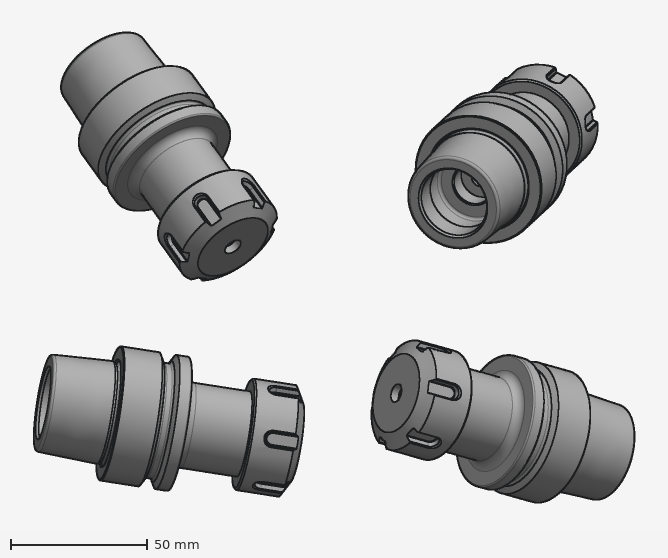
import cadquery as cq
import math


full_turn = 360.0

taper_front_radius = 18.1
taper_front_round = 1.0
taper_large_x = 23.1
taper_large_radius = 19.2

relief_radius = 18.7
relief_start_x = 24.0
relief_end_x = 24.6
relief_fillet_end_x = 25.4
relief_fillet_end_radius = 19.55
relief_mouth_radius = 20.1

flange_diameter = 50.0
flange_radius = flange_diameter / 2
flange_start_x = 25.0
flange_end_x = 50.8
flange_front_chamfer = 0.4
flange_rear_round = 0.6
groove_center_x = 42.8
groove_mouth_width = 6.55
groove_mouth_half_width = groove_mouth_width / 2
groove_width = 3.7
groove_half_width = groove_width / 2
groove_floor_diameter = 43.0
groove_floor_radius = groove_floor_diameter / 2
groove_floor_fillet = 0.9
groove_flank_angle = 30.0

neck_diameter = 31.8
neck_radius = neck_diameter / 2
neck_fillet = 3.2

bore_diameter = 25.9
bore_radius = bore_diameter / 2
bore_mouth_radius = 13.7
bore_mouth_angle = 35.0
bore_end_x = 9.9
undercut_radius = 13.6
bore_floor_radius = 12.4
bore_floor_fillet = undercut_radius - bore_floor_radius
bore_floor_x = 19.3
recess_mouth_radius = 8.0
recess_radius = 7.5
recess_chamfer = recess_mouth_radius - recess_radius
recess_depth = 7.6
through_radius = 3.4

nut_start_x = 75.1
nut_end_x = 94.9
nut_radius = 20.8
nut_chamfer = 0.7
nut_cone_start_x = 91.5
nut_face_radius = 14.9
spigot_end_x = nut_cone_start_x

slot_count = 6
slot_first_angle = 19.2
slot_center_x = 83.5
slot_floor_height = 18.1
slot_floor_width = 4.3
slot_floor_half_width = slot_floor_width / 2
slot_floor_chamfer = 0.2
slot_wall_top_height = 20.1
slot_wall_top_width = 5.5
slot_wall_top_half_width = slot_wall_top_width / 2
slot_cutter_overshoot = 0.95
slot_cut_height = nut_radius + slot_cutter_overshoot


def revolve_about_x(profile):
    return profile.close().revolve(full_turn, (0, 0, 0), (1, 0, 0))


def make_holder_blank():
    groove_left_x = groove_center_x - groove_half_width
    groove_right_x = groove_center_x + groove_half_width
    flank_rise = (groove_mouth_half_width - groove_half_width) / math.tan(math.radians(groove_flank_angle))
    flank_root_radius = flange_radius - flank_rise
    fillet_top_radius = groove_floor_radius + groove_floor_fillet
    profile = (
        cq.Workplane("XY")
        .moveTo(0, 0)
        .lineTo(0, taper_front_radius - taper_front_round)
        .radiusArc((taper_front_round, taper_front_radius), taper_front_round)
        .lineTo(taper_large_x, taper_large_radius)
        .lineTo(relief_start_x, relief_radius)
        .lineTo(relief_end_x, relief_radius)
        .tangentArcPoint((relief_fillet_end_x, relief_fillet_end_radius), relative=False)
        .lineTo(flange_start_x, relief_mouth_radius)
        .lineTo(flange_start_x, flange_radius - flange_front_chamfer)
        .lineTo(flange_start_x + flange_front_chamfer, flange_radius)
        .lineTo(groove_center_x - groove_mouth_half_width, flange_radius)
        .lineTo(groove_left_x, flank_root_radius)
        .lineTo(groove_left_x, fillet_top_radius)
        .tangentArcPoint((groove_left_x + groove_floor_fillet, groove_floor_radius), relative=False)
        .lineTo(groove_right_x - groove_floor_fillet, groove_floor_radius)
        .tangentArcPoint((groove_right_x, fillet_top_radius), relative=False)
        .lineTo(groove_right_x, flank_root_radius)
        .lineTo(groove_center_x + groove_mouth_half_width, flange_radius)
        .lineTo(flange_end_x - flange_rear_round, flange_radius)
        .tangentArcPoint((flange_end_x, flange_radius - flange_rear_round), relative=False)
        .lineTo(flange_end_x, neck_radius + neck_fillet)
        .tangentArcPoint((flange_end_x + neck_fillet, neck_radius), relative=False)
        .lineTo(spigot_end_x, neck_radius)
        .lineTo(spigot_end_x, 0)
    )
    return revolve_about_x(profile)


def make_clamping_bore():
    mouth_length = (bore_mouth_radius - bore_radius) / math.tan(math.radians(bore_mouth_angle))
    recess_floor_x = bore_floor_x + recess_depth
    profile = (
        cq.Workplane("XY")
        .moveTo(0, 0)
        .lineTo(0, bore_mouth_radius)
        .lineTo(mouth_length, bore_radius)
        .lineTo(bore_end_x, bore_radius)
        .lineTo(bore_end_x, undercut_radius)
        .lineTo(bore_floor_x - bore_floor_fillet, undercut_radius)
        .tangentArcPoint((bore_floor_x, bore_floor_radius), relative=False)
        .lineTo(bore_floor_x, recess_mouth_radius)
        .lineTo(bore_floor_x + recess_chamfer, recess_radius)
        .lineTo(recess_floor_x, recess_radius)
        .lineTo(recess_floor_x, 0)
    )
    return revolve_about_x(profile)


def make_through_hole():
    return cq.Workplane("YZ").circle(through_radius).extrude(nut_end_x)


def make_holder():
    return make_holder_blank().cut(make_clamping_bore()).cut(make_through_hole())


def make_nut_blank():
    profile = (
        cq.Workplane("XY")
        .moveTo(nut_start_x, neck_radius)
        .lineTo(nut_start_x, nut_radius - nut_chamfer)
        .lineTo(nut_start_x + nut_chamfer, nut_radius)
        .lineTo(nut_cone_start_x, nut_radius)
        .lineTo(nut_end_x, nut_face_radius)
        .lineTo(nut_end_x, through_radius)
        .lineTo(spigot_end_x, through_radius)
        .lineTo(spigot_end_x, neck_radius)
    )
    return revolve_about_x(profile)


def make_slot_cutter():
    flare = slot_cut_height - slot_wall_top_height
    half_section = [
        (0, slot_floor_height),
        (slot_floor_half_width, slot_floor_height),
        (slot_floor_half_width + slot_floor_chamfer, slot_floor_height + slot_floor_chamfer),
        (slot_wall_top_half_width, slot_wall_top_height),
        (slot_wall_top_half_width + flare, slot_cut_height),
        (0, slot_cut_height),
    ]
    round_end = (
        cq.Workplane("XZ", origin=(slot_center_x, 0, 0))
        .polyline(half_section)
        .close()
        .revolve(full_turn, (0, 0, 0), (0, 1, 0))
    )
    half_channel = (
        cq.Workplane("YZ", origin=(slot_center_x, 0, 0))
        .polyline(half_section)
        .close()
        .extrude(nut_end_x - slot_center_x)
    )
    return round_end.union(half_channel).union(half_channel.mirror("XZ"))


def make_nut():
    nut = make_nut_blank()
    cutter = make_slot_cutter()
    for index in range(slot_count):
        angle = slot_first_angle + index * full_turn / slot_count
        nut = nut.cut(cutter.rotate((0, 0, 0), (1, 0, 0), angle))
    return nut


holder = make_holder()
nut = make_nut()
result = cq.Compound.makeCompound([holder.val(), nut.val()])